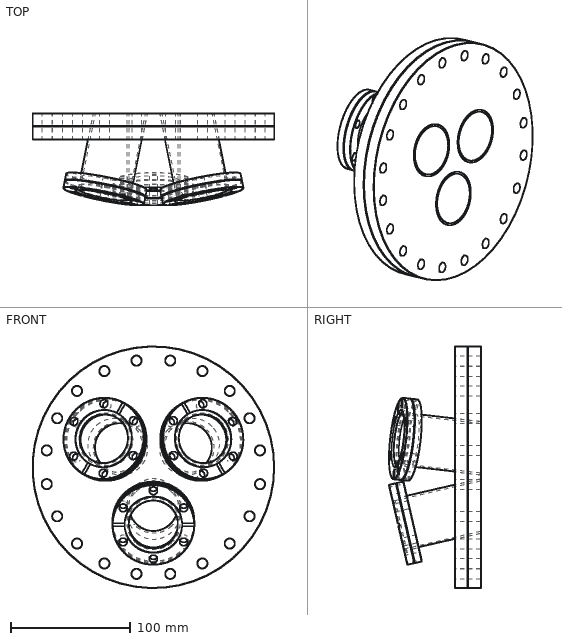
import cadquery as cq
import math

plate_diameter = 203.0
plate_thickness = 22.3
plate_bolt_circle = 181.0
plate_bolt_count = 20
plate_bolt_hole = 8.3
plate_chamfer = 0.5

port_count = 3
port_tilt = 13.0
port_face_radius = 48.3
port_reach = 55.2

tube_diameter = 44.5
bore_diameter = 41.2
socket_diameter = 44.7

flange_diameter = 69.0
flange_thickness = 12.8
flange_chamfer = 0.5
flange_bolt_circle = 58.7
flange_bolt_count = 6
flange_bolt_hole = 6.7
tube_end_depth = 5.5

recess_diameter = 48.3
recess_depth = 2.2
knife_depth = 1.0

slot_width = 2.5

rim_groove_width = 0.8
rim_groove_depth = 0.2

tilt = math.radians(port_tilt)
flange_radius = flange_diameter / 2
bore_radius = bore_diameter / 2
face_standoff = port_reach - flange_radius * math.sin(tilt)

port_plane = cq.Plane(
    origin=(0, -face_standoff, -port_face_radius),
    xDir=(1, 0, 0),
    normal=(0, -math.cos(tilt), -math.sin(tilt)),
)
port_length = 2 * (face_standoff + plate_thickness)


def place_port(body, index):
    """Move a body from the local port frame to the port with this index."""
    lowest = body.val().moved(port_plane.location)
    return lowest.rotate((0, 0, 0), (0, 1, 0), index * 360 / port_count)


def cylinder_behind_face(diameter, start_depth, end_depth):
    """Cylinder on the local port axis, between two depths behind the flange face."""
    far_end = cq.Workplane("XY", origin=(0, 0, -end_depth))
    return far_end.circle(diameter / 2).extrude(end_depth - start_depth)


def rim_groove(diameter, middle):
    """Ring that cuts the groove into a disc rim, centred at this height on local Z."""
    rim = cq.Workplane("XY", origin=(0, 0, middle - rim_groove_width / 2))
    return rim.circle(diameter / 2).circle(diameter / 2 - rim_groove_depth).extrude(rim_groove_width)


def make_plate():
    """Plate with bolt holes and tilted tube sockets; it is turned to face -Y before the sockets."""
    plate = (
        cq.Workplane("XY")
        .circle(plate_diameter / 2)
        .extrude(-plate_thickness)
        .edges()
        .chamfer(plate_chamfer)
        .cut(rim_groove(plate_diameter, -plate_thickness / 2))
    )
    half_pitch = 180 / plate_bolt_count
    bolt_holes = (
        cq.Workplane("XY")
        .polarArray(plate_bolt_circle / 2, half_pitch, 360, plate_bolt_count)
        .circle(plate_bolt_hole / 2)
        .extrude(-plate_thickness)
    )
    plate = plate.cut(bolt_holes).rotate((0, 0, 0), (1, 0, 0), 90)
    for index in range(port_count):
        socket = cylinder_behind_face(socket_diameter, tube_end_depth, port_length)
        plate = plate.cut(cq.Workplane(place_port(socket, index)))
    return plate.val().Solids()[0]


def make_tube(index):
    """Tube from inside the flange to the back of the plate, where it is cut flush."""
    outside = cylinder_behind_face(tube_diameter, tube_end_depth, port_length)
    bore = cylinder_behind_face(bore_diameter, tube_end_depth, port_length)
    tube = cq.Workplane(place_port(outside.cut(bore), index))
    room = (
        cq.Workplane("XZ", origin=(0, plate_thickness, 0))
        .circle(plate_diameter / 2)
        .extrude(plate_thickness + port_reach)
    )
    return tube.intersect(room).val().Solids()[0]


def turned_flange():
    """Flange without slots and bolt holes: its half section turned about the port axis."""
    recess_radius = recess_diameter / 2
    socket_radius = socket_diameter / 2
    edge_radius = flange_radius - flange_chamfer
    groove_radius = flange_radius - rim_groove_depth
    groove_top = (rim_groove_width - flange_thickness) / 2
    groove_bottom = groove_top - rim_groove_width
    half_section = [
        (bore_radius, -knife_depth),
        (recess_radius, -recess_depth),
        (recess_radius, 0),
        (edge_radius, 0),
        (flange_radius, -flange_chamfer),
        (flange_radius, groove_top),
        (groove_radius, groove_top),
        (groove_radius, groove_bottom),
        (flange_radius, groove_bottom),
        (flange_radius, flange_chamfer - flange_thickness),
        (edge_radius, -flange_thickness),
        (socket_radius, -flange_thickness),
        (socket_radius, -tube_end_depth),
        (bore_radius, -tube_end_depth),
    ]
    return cq.Workplane("XZ").polyline(half_section).close().revolve(360, (0, 0, 0), (0, 1, 0))


def leak_slots():
    """Half-round slots along local X, on both sides of the bore, from the recess to the rim."""
    slot = (
        cq.Workplane("ZY", origin=(-bore_radius, 0, 0))
        .circle(slot_width / 2)
        .extrude(flange_radius - bore_radius)
        .cut(cylinder_behind_face(recess_diameter, 0, flange_thickness))
    )
    return [slot, slot.mirror("YZ")]


def make_flange(index):
    """Port flange with its bolt holes and leak slots, in place on the port with this index."""
    bolt_holes = (
        cq.Workplane("XY")
        .polarArray(flange_bolt_circle / 2, 90, 360, flange_bolt_count)
        .circle(flange_bolt_hole / 2)
        .extrude(-flange_thickness)
    )
    flange = turned_flange().cut(bolt_holes)
    for slot in leak_slots():
        flange = flange.cut(slot)
    return place_port(flange, index).Solids()[0]


plate = make_plate()
tubes = [make_tube(index) for index in range(port_count)]
flanges = [make_flange(index) for index in range(port_count)]

result = cq.Compound.makeCompound([plate, *tubes, *flanges])